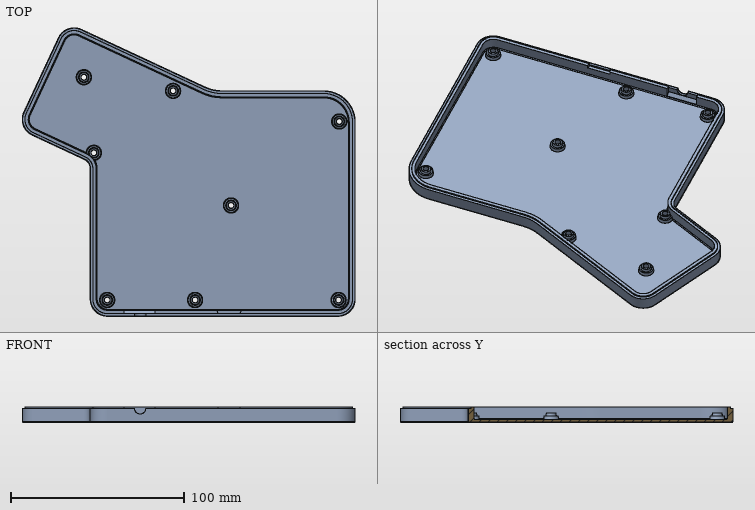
import cadquery as cq
import math

BODY_WIDTH = 153.0
BODY_DEPTH = 130.0
CORNER_RADIUS = 10.0
BACK_CORNER_RADIUS = 18.0

ARM_ANGLE = 25.0
ARM_WIDTH = 67.2
ARM_LOWER_EDGE = 46.9
ELBOW_Y = 89.0
ELBOW_RADIUS = 6.0
SHOULDER_BEND_RADIUS = 23.5

HEIGHT = 8.8
LIP_HEIGHT = 0.8
LIP_INSET = 1.5
WALL = 3.5
FLOOR = 1.7
FLOOR_CHAMFER = 0.5
BOTTOM_CHAMFER = 0.4
RIM_Z = HEIGHT - LIP_HEIGHT

FLANGE_RADIUS = 4.5
FLANGE_HEIGHT = 2.0
SPIGOT_RADIUS = 3.0
SPIGOT_HEIGHT = 1.7
BOSS_TAPER = 0.4
HOLE_RADIUS = 1.63
BOSS_ROW_Y = 9.5
BOSS_CENTRES = [
    (9.8, BOSS_ROW_Y),
    (60.5, BOSS_ROW_Y),
    (143.3, BOSS_ROW_Y),
    (81.3, 64.0),
    (2.1, 94.3),
    (143.7, 112.4),
    (47.8, 130.0),
    (-3.7, 138.0),
]

NOTCH_X = 28.8
NOTCH_RADIUS = 3.3
POCKET_X = 28.5
POCKET_WIDTH = 18.0
POCKET_DEPTH = 3.5

GAP_X = 80.1
GAP_INNER_WIDTH = 14.0
GAP_OUTER_WIDTH = 12.7
GAP_DEPTH = 1.0


def sharp_outline():
    """Corner points of the outline with the radius of each corner."""
    angle = math.radians(ARM_ANGLE)
    sine, cosine = math.sin(angle), math.cos(angle)
    low_tip = (-ARM_LOWER_EDGE * cosine, ELBOW_Y + ARM_LOWER_EDGE * sine)
    high_tip = (low_tip[0] + ARM_WIDTH * sine, low_tip[1] + ARM_WIDTH * cosine)
    bend_x = high_tip[0] + (high_tip[1] - BODY_DEPTH) / math.tan(angle)
    return [
        ((0, 0), CORNER_RADIUS),
        ((BODY_WIDTH, 0), CORNER_RADIUS),
        ((BODY_WIDTH, BODY_DEPTH), BACK_CORNER_RADIUS),
        ((bend_x, BODY_DEPTH), SHOULDER_BEND_RADIUS),
        (high_tip, CORNER_RADIUS),
        (low_tip, CORNER_RADIUS),
        ((0, ELBOW_Y), ELBOW_RADIUS),
    ]


def tray_blank():
    """Solid outline with every upright corner rounded."""
    corners = sharp_outline()
    blank = cq.Workplane("XY").polyline([point for point, _ in corners]).close().extrude(HEIGHT)
    for (x, y), radius in corners:
        upright = cq.selectors.NearestToPointSelector((x, y, HEIGHT / 2))
        blank = blank.edges("|Z").edges(upright).fillet(radius)
    return blank


def inset_prism(blank, inset, z_from, z_to):
    """Prism of the outline moved inwards by inset."""
    outline = blank.faces("<Z").wires().val()
    inner = outline.offset2D(-inset)[0]
    prism = cq.Workplane("XY").newObject([inner]).toPending().extrude(z_to - z_from)
    return prism.translate((0, 0, z_from))


def tray():
    """Open tray: floor, wall, and a lip set in from the outer wall."""
    blank = tray_blank()
    lip = inset_prism(blank, LIP_INSET, RIM_Z, HEIGHT)
    cavity = inset_prism(blank, WALL, FLOOR, HEIGHT).faces("<Z").chamfer(FLOOR_CHAMFER)
    base = blank.faces(">Z").workplane(offset=-LIP_HEIGHT).split(keepBottom=True)
    base = base.faces("<Z").chamfer(BOTTOM_CHAMFER)
    return base.union(lip).cut(cavity)


def boss_profile():
    """Half section of one boss, radius along X and height along Y."""
    flange_top = FLOOR + FLANGE_HEIGHT
    return [
        (0, FLOOR),
        (FLANGE_RADIUS, FLOOR),
        (FLANGE_RADIUS - BOSS_TAPER, flange_top),
        (SPIGOT_RADIUS, flange_top),
        (SPIGOT_RADIUS - BOSS_TAPER, flange_top + SPIGOT_HEIGHT),
        (0, flange_top + SPIGOT_HEIGHT),
    ]


def add_bosses(body):
    """Stepped screw bosses with a hole through to the underside."""
    boss = cq.Workplane("XZ").polyline(boss_profile()).close().revolve(360, (0, 0), (0, 1))
    hole = cq.Workplane("XY").circle(HOLE_RADIUS).extrude(HEIGHT)
    for x, y in BOSS_CENTRES:
        body = body.union(boss.translate((x, y, 0))).cut(hole.translate((x, y, 0)))
    return body


def cut_cable_notch(body):
    """Half-round notch in the front rim and the pocket with a sloping bottom behind it."""
    notch = cq.Workplane("XZ").center(NOTCH_X, RIM_Z).circle(NOTCH_RADIUS).extrude(-WALL)
    slope_top = RIM_Z - POCKET_DEPTH
    slope_drop = WALL - LIP_INSET
    pocket = (
        cq.Workplane("YZ")
        .workplane(offset=POCKET_X - POCKET_WIDTH / 2)
        .polyline([
            (LIP_INSET, HEIGHT),
            (LIP_INSET, slope_top),
            (WALL, slope_top - slope_drop),
            (WALL, HEIGHT),
        ])
        .close()
        .extrude(POCKET_WIDTH)
    )
    return body.cut(notch).cut(pocket)


def cut_lip_gap(body):
    """Gap through the front lip and into the wall top, narrower at the outside."""
    gap = (
        cq.Workplane("XY")
        .workplane(offset=HEIGHT)
        .polyline([
            (GAP_X - GAP_OUTER_WIDTH / 2, LIP_INSET),
            (GAP_X + GAP_OUTER_WIDTH / 2, LIP_INSET),
            (GAP_X + GAP_INNER_WIDTH / 2, WALL),
            (GAP_X - GAP_INNER_WIDTH / 2, WALL),
        ])
        .close()
        .extrude(-LIP_HEIGHT - GAP_DEPTH)
    )
    return body.cut(gap)


result = cut_lip_gap(cut_cable_notch(add_bosses(tray())))